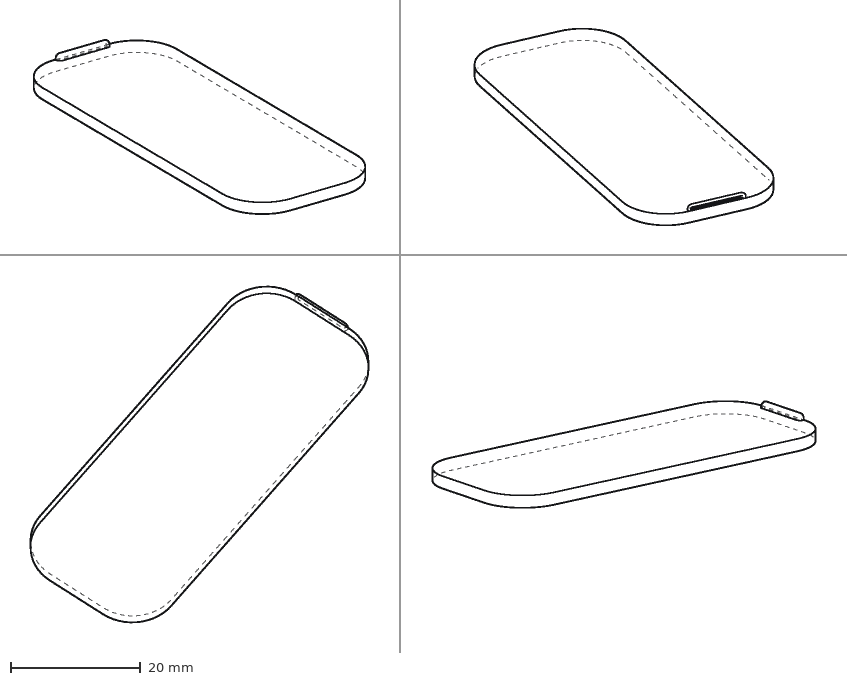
import cadquery as cq

plate_length = 63.2
plate_width = 25.2
plate_thickness = 2.0
corner_radius = 7.5

catch_radius = 1.0
catch_width = 10.0
catch_wall = 0.5
end_rounding = 0.8
rim_fillet = 0.19


def make_plate():
    plate = cq.Workplane("XY").rect(plate_length, plate_width).extrude(plate_thickness)
    return plate.edges("|Z").fillet(corner_radius)


def quarter_round_bar(inset):
    """Quarter-round bar along the plate's top -X edge, shrunk by inset, with rounded ends."""
    radius = catch_radius - inset
    half_width = catch_width / 2 - inset
    bar = (
        cq.Workplane("XZ", origin=(-plate_length / 2, half_width, plate_thickness))
        .moveTo(0, radius)
        .radiusArc((radius, 0), radius)
        .lineTo(0, 0)
        .close()
        .extrude(2 * half_width)
    )
    return bar.edges("%CIRCLE").fillet(end_rounding - inset)


def make_catch():
    hood = quarter_round_bar(0).cut(quarter_round_bar(catch_wall))
    open_edges = hood.faces("<X").edges("not(<Z)")
    return open_edges.fillet(rim_fillet)


result = make_plate().union(make_catch())